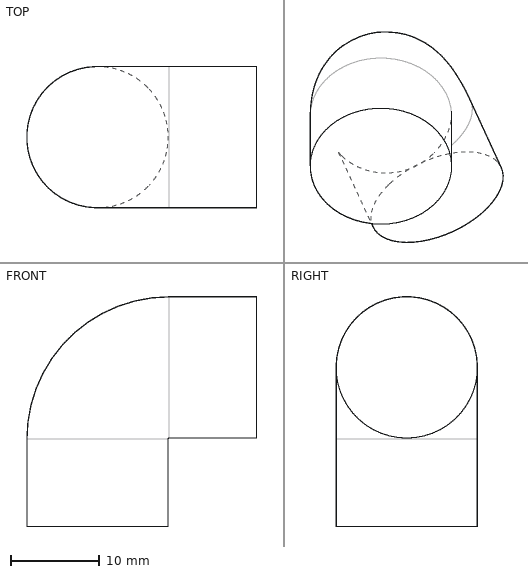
import cadquery as cq

overall_length = 26.0
pipe_diameter = 16.0
inner_bend_radius = 0.1

pipe_radius = pipe_diameter / 2
bend_radius = pipe_radius + inner_bend_radius
leg_length = overall_length - pipe_diameter - inner_bend_radius
centerline_height = leg_length + bend_radius
centerline_length = bend_radius + leg_length

centerline = (
    cq.Workplane("XZ")
    .lineTo(0, leg_length)
    .tangentArcPoint((bend_radius, centerline_height), relative=False)
    .lineTo(centerline_length, centerline_height)
)

result = cq.Workplane("XY").circle(pipe_radius).sweep(centerline)